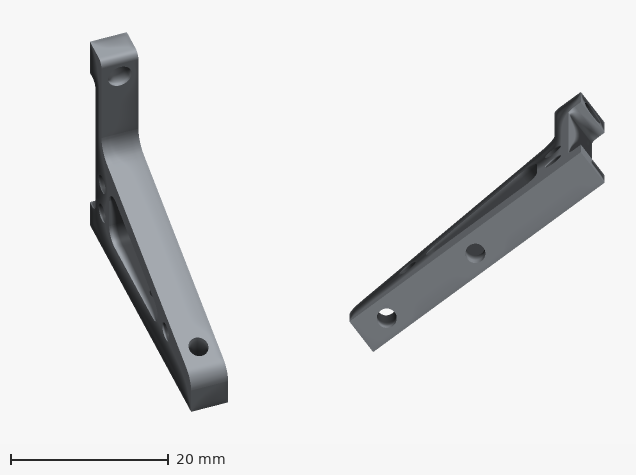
import cadquery as cq
import math

length = 36.7
thickness = 5.0
height = 32.0

arm_face_x = 4.2
relief_depth = 2.0
relief_bottom_z = 4.0
relief_top_z = 26.57
small_radius = 1.0

slope_angle = 19.0
toe_height = 5.55
toe_radius = 2.57
web_radius = 3.0

window_left_x = 6.97
window_floor_z = relief_bottom_z
rail_thickness = 2.5
window_radius = 2.0
window_tip_radius = 1.8

hole_diameter = 2.55
arm_hole_diameter = 3.2
arm_hole_z = 28.85
side_holes = [(4.45, 11.0), (4.45, 6.0), (27.5, 5.75)]
window_hole_x = 18.6
toe_hole_x = 32.65

slope = math.tan(math.radians(slope_angle))
window_slope_offset = rail_thickness / math.cos(math.radians(slope_angle))


def slope_z(x):
    """Height of the unrounded sloping edge at x."""
    return toe_height + slope * (length - x)


def window_slope_z(x):
    """Height of the window's sloping side at x."""
    return slope_z(x) - window_slope_offset


def extrude_outline(points):
    """Extrude an XZ outline symmetrically through the thickness."""
    return cq.Workplane("XZ").polyline(points).close().extrude(thickness / 2, both=True)


def round_edge(body, x, z, radius):
    """Round the thickness-direction edge nearest to (x, z)."""
    return body.edges("|Y").edges(cq.selectors.NearestToPointSelector((x, 0, z))).fillet(radius)


def make_bracket():
    body = extrude_outline([
        (0, 0),
        (length, 0),
        (length, toe_height),
        (arm_face_x, slope_z(arm_face_x)),
        (arm_face_x, height),
        (0, height),
        (0, relief_top_z),
        (relief_depth, relief_top_z),
        (relief_depth, relief_bottom_z),
        (0, relief_bottom_z),
    ])
    body = round_edge(body, length, toe_height, toe_radius)
    body = round_edge(body, arm_face_x, slope_z(arm_face_x), web_radius)
    body = round_edge(body, arm_face_x, height, small_radius)
    for z in (relief_bottom_z, relief_top_z):
        body = round_edge(body, relief_depth, z, small_radius)
    return body


def make_window():
    tip_x = length - (window_floor_z + window_slope_offset - toe_height) / slope
    top_z = window_slope_z(window_left_x)
    body = extrude_outline([
        (window_left_x, window_floor_z),
        (tip_x, window_floor_z),
        (window_left_x, top_z),
    ])
    body = round_edge(body, tip_x, window_floor_z, window_tip_radius)
    for z in (window_floor_z, top_z):
        body = round_edge(body, window_left_x, z, window_radius)
    return body


def cut_holes(body):
    side = cq.Workplane("XZ").pushPoints(side_holes).circle(hole_diameter / 2)
    body = body.cut(side.extrude(thickness, both=True))

    for x, depth in ((window_hole_x, window_floor_z), (toe_hole_x, height)):
        body = body.cut(cq.Workplane("XY").center(x, 0).circle(hole_diameter / 2).extrude(depth))

    arm_hole = cq.Workplane("YZ").center(0, arm_hole_z).circle(arm_hole_diameter / 2)
    return body.cut(arm_hole.extrude(arm_face_x))


result = cut_holes(make_bracket().cut(make_window()))